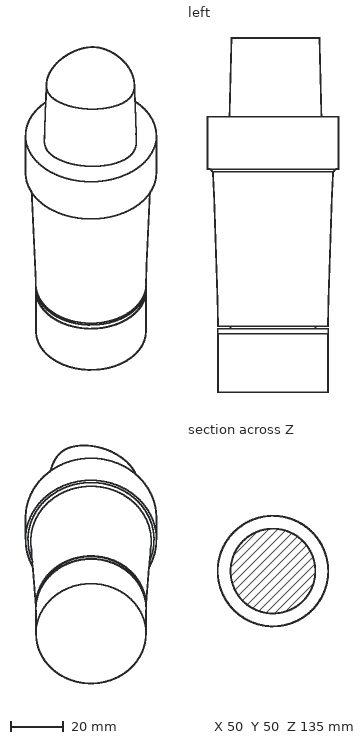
import cadquery as cq
import math

TOTAL_HEIGHT = 135.0
SHANK_HEIGHT = 30.0
FLANGE_THICKNESS = 20.0
FLANGE_TOP = TOTAL_HEIGHT - SHANK_HEIGHT
FLANGE_BOTTOM = FLANGE_TOP - FLANGE_THICKNESS
COLLAR_HEIGHT = 1.1
BODY_TOP = FLANGE_BOTTOM - COLLAR_HEIGHT
GROOVE_TOP = 25.1
GROOVE_WIDTH = 0.8
RING_TOP = GROOVE_TOP - GROOVE_WIDTH
RING_BOTTOM = 22.3

FLANGE_RADIUS = 50.0 / 2
COLLAR_TOP_RADIUS = 24.0
BODY_TOP_RADIUS = 23.0
BASE_RADIUS = 42.0 / 2
RING_RADIUS = 42.3 / 2
GROOVE_RADIUS = 32.4 / 2

SHANK_MEAN_RADIUS = 17.5
LOBE_ECCENTRICITY = 1.0
SHANK_TAPER = 1 / 20
SHANK_TOP_MEAN_RADIUS = SHANK_MEAN_RADIUS - SHANK_TAPER * SHANK_HEIGHT / 2
LOBE_POINTS = 36


def lobed_outline(mean_radius):
    """Closed constant-width curve with one of its three lobes pointing to -Y."""
    points = []
    for i in range(LOBE_POINTS):
        angle = 2 * math.pi * i / LOBE_POINTS
        along = (mean_radius * math.cos(angle)
                 + LOBE_ECCENTRICITY * (2 * math.cos(2 * angle) - math.cos(4 * angle)))
        across = (mean_radius * math.sin(angle)
                  - LOBE_ECCENTRICITY * (2 * math.sin(2 * angle) + math.sin(4 * angle)))
        points.append((across, -along))
    return points


def make_round_body():
    """Base, ring, narrow groove, tapered body and flange as one turned solid."""
    profile = [
        (0, 0),
        (BASE_RADIUS, 0),
        (BASE_RADIUS, RING_BOTTOM),
        (RING_RADIUS, RING_BOTTOM),
        (RING_RADIUS, RING_TOP),
        (GROOVE_RADIUS, RING_TOP),
        (GROOVE_RADIUS, GROOVE_TOP),
        (BASE_RADIUS, GROOVE_TOP),
        (BODY_TOP_RADIUS, BODY_TOP),
        (COLLAR_TOP_RADIUS, FLANGE_BOTTOM),
        (FLANGE_RADIUS, FLANGE_BOTTOM),
        (FLANGE_RADIUS, FLANGE_TOP),
        (0, FLANGE_TOP),
    ]
    return cq.Workplane("XZ").polyline(profile).close().revolve(360, (0, 0), (0, 1))


def make_shank():
    """Lobed shank, narrowing from the flange to the top of the part."""
    return (
        cq.Workplane("XY")
        .workplane(offset=FLANGE_TOP)
        .spline(lobed_outline(SHANK_MEAN_RADIUS), periodic=True)
        .close()
        .workplane(offset=SHANK_HEIGHT)
        .spline(lobed_outline(SHANK_TOP_MEAN_RADIUS), periodic=True)
        .close()
        .loft(ruled=True)
    )


result = make_round_body().union(make_shank())